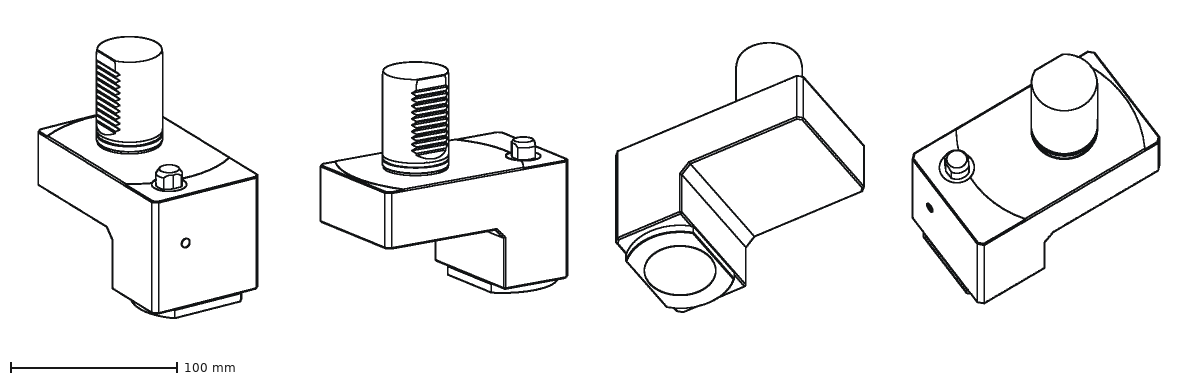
import cadquery as cq
import math


body_left, body_right = -45.5, 86.5
body_width = 76.0
arm_depth = 36.0
leg_depth = 74.0
leg_left = 38.9
gusset = 6.0
corner_chamfer = 3.0
edge_chamfer = 1.0

face_step = 0.3
face_left, face_right = -43.3, 65.0
left_arc_radius, right_arc_radius = 75.0, 65.0

shank_height = 60.0
shank_radius = 40.0 / 2
neck_radius = 39.0 / 2
neck_height = 1.3
neck_chamfer = 0.4
tip_height = 3.0
groove_bottom, groove_top = 4.9, 7.8
ring_radius = (groove_top - groove_bottom) / 2

flat_offset = 17.0
flat_bevel = 0.4
flat_end = 12.9
tooth_depth = 1.7
tooth_count = 10
first_groove, last_groove = 51.7, 15.7
tooth_pitch = (first_groove - last_groove) / (tooth_count - 1)

pin_x, pin_y = 67.6, -15.3
pin_height = 10.0
pin_radius = 16.0 / 2
pin_top_radius = 12.0 / 2
pin_tip_height = 3.0
pin_flat_offset = 6.9
pin_flat_half_angle = 13.5
pin_seat_diameter = 21.0
pin_seat_depth = 0.4

root_depth = 1.4

collar_diameter = 67.0
collar_bottom = 79.5
collar_chamfer = 0.4
disc_diameter = 43.0
disc_bottom = 80.0

plug_diameter = 5.7
plug_y, plug_z = -15.8, -31.6
plug_height = 0.5


def make_body():
    """Angled block with chamfered corners and edges."""
    body = (
        cq.Workplane("XZ")
        .moveTo(body_left, 0)
        .lineTo(body_right, 0)
        .lineTo(body_right, -leg_depth)
        .lineTo(leg_left, -leg_depth)
        .lineTo(leg_left, -arm_depth - gusset)
        .lineTo(leg_left - gusset, -arm_depth)
        .lineTo(body_left, -arm_depth)
        .close()
        .extrude(body_width / 2, both=True)
    )
    body = body.faces("<X or >X").edges("|Z").chamfer(corner_chamfer)
    outline = body.faces("<Y or >Y or <X or >X or <Z or >Z").edges("not |Z")
    nearest_underside = cq.selectors.NearestToPointSelector((0, 0, -arm_depth))
    arm_underside = body.faces(nearest_underside).edges("not >X")
    leg_side = cq.selectors.BoxSelector(
        (leg_left - edge_chamfer, -body_width, -leg_depth),
        (leg_left + edge_chamfer, body_width, -arm_depth - gusset),
    )
    leg_edges = body.edges("|Z").edges(leg_side)
    sharp_edges = outline.add(arm_underside).add(leg_edges)
    return body.newObject(set(sharp_edges.vals())).chamfer(edge_chamfer)


def make_face_relief():
    """Material above the two lowered ends of the top, outside the mounting face arcs."""
    half = body_width / 2
    left_sag = left_arc_radius - math.sqrt(left_arc_radius**2 - half**2)
    right_sag = right_arc_radius - math.sqrt(right_arc_radius**2 - half**2)
    mounting_face = (
        cq.Workplane("XY")
        .workplane(offset=-face_step)
        .moveTo(face_left + left_sag, -half)
        .lineTo(face_right - right_sag, -half)
        .threePointArc((face_right, 0), (face_right - right_sag, half))
        .lineTo(face_left + left_sag, half)
        .threePointArc((face_left, 0), (face_left + left_sag, -half))
        .close()
        .extrude(face_step)
    )
    slab = (
        cq.Workplane("XY")
        .box(body_right - body_left, body_width, face_step, centered=(False, True, False))
        .translate((body_left, 0, -face_step))
    )
    return slab.cut(mounting_face)


def make_pin_seat():
    """Shallow round pocket around the locating pin."""
    return (
        cq.Workplane("XY")
        .center(pin_x, pin_y)
        .circle(pin_seat_diameter / 2)
        .extrude(-pin_seat_depth)
    )


def make_shank():
    """Round shank with a ring seated in a groove near its foot and a slim tapered tip."""
    groove_middle = (groove_bottom + groove_top) / 2
    band_bottom = neck_height + neck_chamfer
    shank = (
        cq.Workplane("XZ")
        .moveTo(0, -root_depth)
        .lineTo(neck_radius, -root_depth)
        .lineTo(neck_radius, neck_height)
        .lineTo(shank_radius, band_bottom)
        .lineTo(shank_radius, groove_bottom)
        .lineTo(shank_radius - ring_radius, groove_bottom)
        .threePointArc((shank_radius, groove_middle), (shank_radius - ring_radius, groove_top))
        .lineTo(shank_radius, groove_top)
        .lineTo(shank_radius, shank_height - tip_height)
        .lineTo(neck_radius, shank_height)
        .lineTo(0, shank_height)
        .close()
        .revolve(360, (0, 0, 0), (0, 1, 0))
    )
    return shank.cut(make_serration())


def make_serration():
    """Cutter for the flat on the -Y side, its V grooves and its sloping run-out."""
    clear = 2 * shank_radius
    points = [
        (-clear, shank_height),
        (-flat_offset + flat_bevel, shank_height),
        (-flat_offset, shank_height - flat_bevel),
    ]
    for i in range(tooth_count):
        z = first_groove - i * tooth_pitch
        points.append((-flat_offset, z + tooth_depth))
        points.append((-flat_offset + tooth_depth, z))
        points.append((-flat_offset, z - tooth_depth))
    points.append((-flat_offset, flat_end))
    points.append((-clear, flat_end - (clear - flat_offset)))
    return cq.Workplane("YZ").polyline(points).close().extrude(shank_radius, both=True)


def make_pin():
    """Locating pin with a conical tip and four flats."""
    pin = (
        cq.Workplane("XZ")
        .moveTo(0, -root_depth)
        .lineTo(pin_radius, -root_depth)
        .lineTo(pin_radius, pin_height - pin_tip_height)
        .lineTo(pin_top_radius, pin_height)
        .lineTo(0, pin_height)
        .close()
        .revolve(360, (0, 0, 0), (0, 1, 0))
    )
    facing = math.degrees(math.atan2(pin_y, pin_x))
    for turn in (-pin_flat_half_angle, pin_flat_half_angle):
        slab = cq.Workplane("XY").box(2 * pin_flat_offset, 4 * pin_radius, 4 * pin_height)
        pin = pin.intersect(slab.rotate((0, 0, 0), (0, 0, 1), facing + turn))
    return pin.translate((pin_x, pin_y, 0))


def make_collar():
    """Round collar trimmed to the leg, with a thin disc below it."""
    leg_length = body_right - leg_left
    leg_middle = (leg_left + body_right) / 2
    collar = (
        cq.Workplane("XY")
        .workplane(offset=-collar_bottom)
        .circle(collar_diameter / 2)
        .extrude(collar_bottom - leg_depth)
        .intersect(cq.Workplane("XY").box(leg_length, collar_diameter, 2 * disc_bottom))
        .faces("<Z")
        .edges()
        .chamfer(collar_chamfer)
    )
    disc = (
        cq.Workplane("XY")
        .workplane(offset=-disc_bottom)
        .circle(disc_diameter / 2)
        .extrude(disc_bottom - leg_depth)
    )
    return collar.union(disc).translate((leg_middle, 0, 0))


def make_plug():
    """Small round plug standing out of the right end."""
    return (
        cq.Workplane("YZ")
        .workplane(offset=body_right)
        .center(plug_y, plug_z)
        .circle(plug_diameter / 2)
        .extrude(plug_height)
    )


result = (
    make_body()
    .cut(make_face_relief())
    .cut(make_pin_seat())
    .union(make_shank())
    .union(make_pin())
    .union(make_collar())
    .union(make_plug())
)